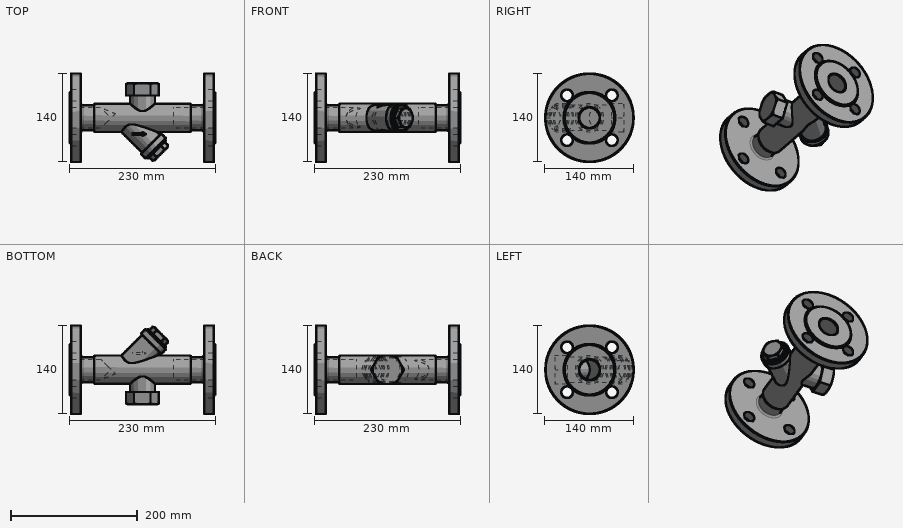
import cadquery as cq
import math

run_length = 230.0
half_run = run_length / 2

flange_diameter = 140.0
flange_thickness = 15.9
flange_edge_chamfer = 1.0
raised_face_diameter = 78.0
raised_face_height = 2.0
bolt_circle_diameter = 100.0
bolt_hole_diameter = 18.0
bolt_count = 4
bolt_start_angle = 45.0

neck_diameter = 40.0
neck_fillet = 3.0
body_diameter = 45.0
body_half_length = 76.8
body_edge_fillet = 3.0

bore_diameter = 32.0
bore_depth = 65.8
bore_chamfer = 1.0

trap_neck_diameter = 40.0
trap_nut_start = 35.0
trap_nut_end = 54.7
trap_nut_flats = 45.0
trap_nut_tip_diameter = 46.5

branch_angle = -45.0
branch_origin_x = -27.4
branch_diameter = 40.0
collar_start = 58.0
collar_length = 10.1
collar_diameter = 45.5
washer_length = 2.8
washer_diameter = 40.0
cap_length = 9.2
cap_flats = 30.0
cap_tip_diameter = cap_flats
screen_diameter = bore_diameter

arrow_tail_x = -16.0
arrow_y = -25.8
arrow_length = 21.8
arrow_head_length = 6.0
arrow_head_width = 6.0
arrow_shaft_width = 3.2
arrow_relief = 0.5

hex_sides = 6
hex_half_angle = math.pi / hex_sides
hex_bevel_angle = math.radians(30)


def revolved_half():
    """Flange, neck and body of the -X half, revolved about the X axis."""
    face_x = -half_run
    flange_front = face_x + raised_face_height
    flange_back = flange_front + flange_thickness
    face_r = raised_face_diameter / 2
    flange_r = flange_diameter / 2
    neck_r = neck_diameter / 2
    body_r = body_diameter / 2
    body_end = -body_half_length
    return (
        cq.Workplane("XY")
        .moveTo(face_x, 0)
        .lineTo(face_x, face_r)
        .lineTo(flange_front, face_r + raised_face_height)
        .lineTo(flange_front, flange_r - flange_edge_chamfer)
        .lineTo(flange_front + flange_edge_chamfer, flange_r)
        .lineTo(flange_back - flange_edge_chamfer, flange_r)
        .lineTo(flange_back, flange_r - flange_edge_chamfer)
        .lineTo(flange_back, neck_r + neck_fillet)
        .radiusArc((flange_back + neck_fillet, neck_r), -neck_fillet)
        .lineTo(body_end, neck_r)
        .radiusArc((body_end + body_edge_fillet, body_r), body_edge_fillet)
        .lineTo(0, body_r)
        .lineTo(0, 0)
        .close()
        .revolve(360, (0, 0, 0), (1, 0, 0))
    )


def bolt_holes():
    return (
        cq.Workplane("YZ", origin=(-half_run, 0, 0))
        .polarArray(bolt_circle_diameter / 2, bolt_start_angle, 360, bolt_count)
        .circle(bolt_hole_diameter / 2)
        .extrude(run_length)
    )


def disc(plane, start, length, diameter):
    """Cylinder along the plane normal, beginning at the given distance from the plane."""
    return cq.Workplane(plane).workplane(offset=start).circle(diameter / 2).extrude(length)


def hex_head(plane, start, length, flats, tip_diameter):
    """Hexagon along the plane normal, corners on its x direction, bevelled at the far end."""
    corners = flats / math.cos(hex_half_angle)
    prism = cq.Workplane(plane).workplane(offset=start).polygon(hex_sides, corners).extrude(length)
    tip_r = tip_diameter / 2
    base_r = tip_r + length / math.tan(hex_bevel_angle)
    bevel = (
        cq.Workplane("XZ")
        .polyline([(0, 0), (base_r, 0), (tip_r, length), (0, length)])
        .close()
        .revolve(360, (0, 0, 0), (0, 1, 0))
    )
    cone = cq.Workplane(obj=bevel.val().located(cq.Location(plane) * cq.Location((0, 0, start))))
    return prism.intersect(cone)


def trap():
    """Neck and hexagon nut standing on the +Y side of the body."""
    plane = cq.Plane(origin=(0, 0, 0), xDir=(1, 0, 0), normal=(0, 1, 0))
    neck = disc(plane, 0, trap_nut_start, trap_neck_diameter)
    nut_length = trap_nut_end - trap_nut_start
    nut = hex_head(plane, trap_nut_start, nut_length, trap_nut_flats, trap_nut_tip_diameter)
    return neck.union(nut)


def branch_plane():
    """Plane whose normal runs outward along the slanted branch axis."""
    angle = math.radians(branch_angle)
    return cq.Plane(
        origin=(branch_origin_x, 0, 0),
        xDir=(-math.sin(angle), math.cos(angle), 0),
        normal=(math.cos(angle), math.sin(angle), 0),
    )


def strainer_branch():
    """Slanted tube with collar, washer and hexagon cap."""
    plane = branch_plane()
    collar_end = collar_start + collar_length
    cap_start = collar_end + washer_length
    tube = disc(plane, 0, collar_start, branch_diameter)
    collar = disc(plane, collar_start, collar_length, collar_diameter)
    washer = disc(plane, collar_end, washer_length, washer_diameter)
    cap = hex_head(plane, cap_start, cap_length, cap_flats, cap_tip_diameter)
    return tube.union(collar).union(washer).union(cap)


def flow_arrow():
    """Arrow pointing along +X, raised slightly above the branch tube on its +Z side."""
    head_x = arrow_length - arrow_head_length
    shaft_half = arrow_shaft_width / 2
    head_half = arrow_head_width / 2
    outline = (
        cq.Workplane("XY", origin=(arrow_tail_x, arrow_y, 0))
        .polyline([
            (0, -shaft_half),
            (head_x, -shaft_half),
            (head_x, -head_half),
            (arrow_length, 0),
            (head_x, head_half),
            (head_x, shaft_half),
            (0, shaft_half),
        ])
        .close()
        .extrude(branch_diameter)
    )
    sleeve = disc(branch_plane(), 0, collar_start, branch_diameter + 2 * arrow_relief)
    return outline.intersect(sleeve)


def end_bore(depth):
    """Plain bore with a chamfered mouth, open at the -X sealing face."""
    bore_r = bore_diameter / 2
    return (
        cq.Workplane("XY", origin=(-half_run, 0, 0))
        .polyline([
            (0, 0),
            (0, bore_r + bore_chamfer),
            (bore_chamfer, bore_r),
            (depth, bore_r),
            (depth, 0),
        ])
        .close()
        .revolve(360, (0, 0, 0), (1, 0, 0))
    )


def inlet_bore():
    """Inlet bore stopping at a shoulder square to the branch axis, with the screen standing on it."""
    bore_end_x = bore_depth - half_run
    shoulder = (bore_end_x - branch_origin_x) * math.cos(math.radians(branch_angle))
    space_around_screen = (
        cq.Workplane(branch_plane())
        .workplane(offset=shoulder)
        .circle(run_length)
        .circle(screen_diameter / 2)
        .extrude(-run_length)
    )
    return end_bore(bore_depth + bore_diameter).intersect(space_around_screen)


run_half = revolved_half()
result = (
    run_half.union(run_half.mirror("YZ"))
    .union(trap())
    .union(strainer_branch())
    .union(flow_arrow())
    .cut(bolt_holes())
    .cut(inlet_bore())
    .cut(end_bore(bore_depth).mirror("YZ"))
)